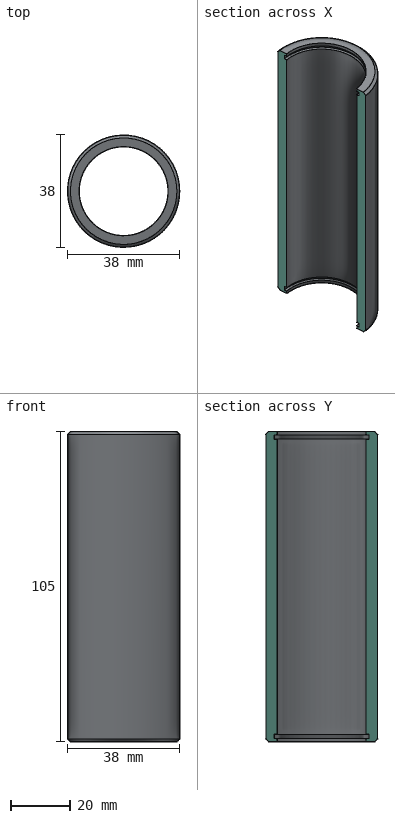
import cadquery as cq

length = 105.0
outer_diameter = 38.0
bore_diameter = 30.0

end_chamfer = 1.0

groove_depth = 1.0
groove_width = 1.4
groove_end_distance = 1.2

groove_diameter = bore_diameter + 2 * groove_depth
lower_groove_z = groove_end_distance
upper_groove_z = length - groove_end_distance - groove_width


def make_sleeve():
    """Plain tube standing on the XY plane along Z, with bevelled outer ends."""
    body = cq.Workplane("XY").circle(outer_diameter / 2).extrude(length)
    body = body.faces("<Z or >Z").edges().chamfer(end_chamfer)
    bore = cq.Workplane("XY").circle(bore_diameter / 2).extrude(length)
    return body.cut(bore)


def make_groove_cutter(bottom_z):
    """Disc whose rim cuts a square groove into the bore wall."""
    plane = cq.Workplane("XY").workplane(offset=bottom_z)
    return plane.circle(groove_diameter / 2).extrude(groove_width)


result = make_sleeve()
for groove_z in (lower_groove_z, upper_groove_z):
    result = result.cut(make_groove_cutter(groove_z))